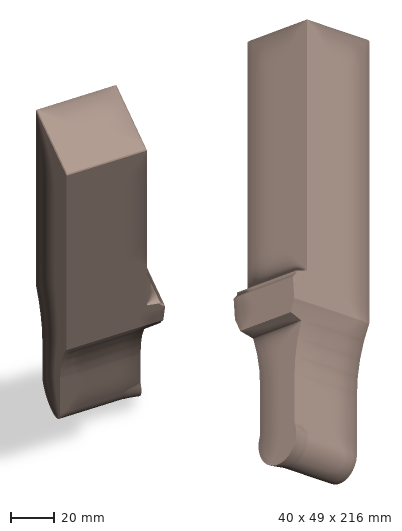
import cadquery as cq
import math

shank_width = 40.0
shank_depth = 40.0
total_length = 216.0
top_chamfer = 0.5

insert_diameter = 25.4
insert_thickness = 7.94
clearance_angle = 7.0
insert_radius = insert_diameter / 2
insert_back_radius = insert_radius - insert_thickness * math.tan(math.radians(clearance_angle))

neck_width = 23.25
neck_radius = neck_width / 2
tip_center_z = insert_radius
neck_top_z = 41.9
shoulder_z = 75.3

flare_run = (shank_width - neck_width) / 2
flare_rise = shoulder_z - neck_top_z
flare_radius = (flare_run**2 + flare_rise**2) / (2 * flare_run)
flare_mid_angle = math.asin(flare_rise / flare_radius) / 2
flare_mid_x = neck_radius + flare_radius * (1 - math.cos(flare_mid_angle))
flare_mid_z = neck_top_z + flare_radius * math.sin(flare_mid_angle)

ridge_height = 9.0
ridge_points = [
    (0.0, 91.1),
    (6.7, 89.4),
    (6.7, 88.1),
    (ridge_height, 85.8),
    (7.6, 69.2),
    (0.0, 67.2),
]


def make_blade_prism(depth):
    """Shank, flare and round-tipped neck outline, extruded from Y = 0 to +Y."""
    half_width = shank_width / 2
    return (
        cq.Workplane("XZ")
        .moveTo(-half_width, total_length)
        .lineTo(-half_width, shoulder_z)
        .threePointArc((-flare_mid_x, flare_mid_z), (-neck_radius, neck_top_z))
        .lineTo(-neck_radius, tip_center_z)
        .threePointArc((0, tip_center_z - neck_radius), (neck_radius, tip_center_z))
        .lineTo(neck_radius, neck_top_z)
        .threePointArc((flare_mid_x, flare_mid_z), (half_width, shoulder_z))
        .lineTo(half_width, total_length)
        .close()
        .extrude(-depth)
    )


def make_ridge():
    """Ridge on the +Y face, trimmed at the sides to the flared outline."""
    profile = [(shank_depth + height, z) for height, z in ridge_points]
    bar = cq.Workplane("YZ").polyline(profile).close().extrude(shank_width / 2, both=True)
    return bar.intersect(make_blade_prism(shank_depth + ridge_height))


def make_insert():
    """Tapered disc with its wide face flush with the +Y face of the holder."""
    back_y = shank_depth - insert_thickness
    return (
        cq.Workplane("XY")
        .moveTo(0, back_y)
        .lineTo(insert_back_radius, back_y)
        .lineTo(insert_radius, shank_depth)
        .lineTo(0, shank_depth)
        .close()
        .revolve(360, (0, 0, 0), (0, 1, 0))
        .translate((0, 0, tip_center_z))
    )


def make_holder():
    """Tool holder with a chamfered shank end and a pocket that seats the insert."""
    shank = make_blade_prism(shank_depth).faces(">Z").chamfer(top_chamfer)
    return shank.union(make_ridge()).cut(make_insert())


holder = make_holder()
insert = make_insert()

result = cq.Compound.makeCompound([holder.val(), insert.val()])